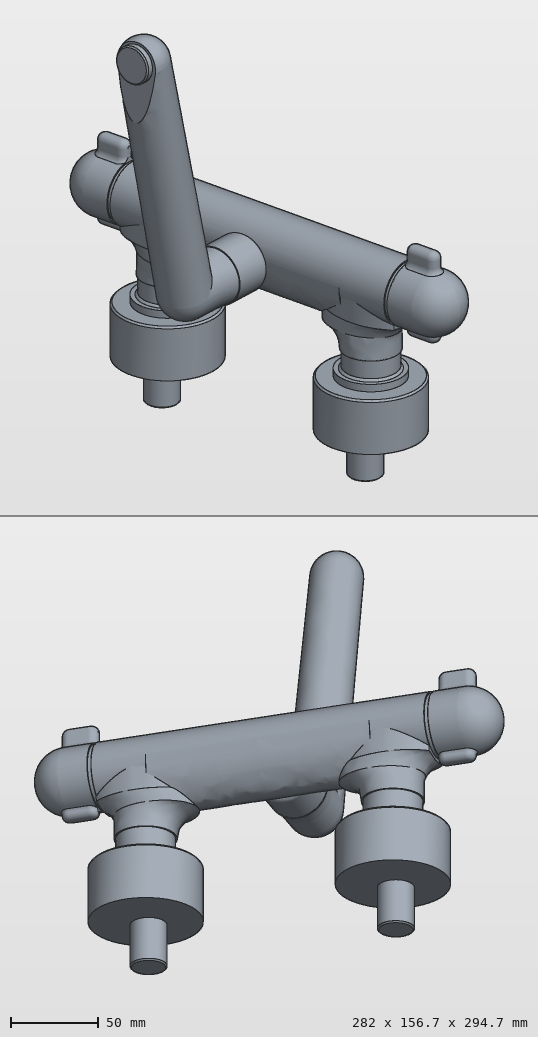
import cadquery as cq
import math


bar_radius = 20.0
body_half_length = 100.8
groove_width = 2.5
groove_depth = 1.0
ball_center_x = 121.0

leg_x = 75.0
leg_radius = 17.0
socket_radius = 18.0
blend_radius = 13.9
socket_top_half_width = 19.5
socket_skirt = 0.5
web_half_length = 67.8
web_depth = 28.5
collar_radius = 21.5
collar_bottom = -60.7
collar_height = 4.7
collar_flare = 1.5
base_radius = 32.85
base_height = 34.2
base_chamfer = 1.2
stub_radius = 10.5
stub_height = 26.5
stub_offset_y = -5.0
stub_chamfer = 1.0

knob_radius = 4.7
knob_inner_x = 107.72
knob_outer_x = 120.4
knob_flare = 4.5
knob_root_z = 17.7
upper_knob = dict(neck_z=23.5, top_z=32.5, crown=4.5)
lower_knob = dict(neck_z=21.2, top_z=25.0, crown=3.5)

spout_z = -2.8
neck_radius = 10.5
sleeve_radius = 18.0
sleeve_start_y = -22.5
sleeve_end_y = -48.0
sleeve_fillet = 3.5
cone_start_radius = 17.5
cone_end_y = -58.5
elbow_y = -75.5
elbow_radius = 16.65
arm_tip_radius = 15.47
arm_tilt = 13.0
arm_tip_z = 157.83
face_y = -119.0
face_tilt = 1.9
outlet_z = 159.0
outlet_radius = 11.8
outlet_length = 4.5
outlet_chamfer = 1.0

cap_inner_x = body_half_length + groove_width
socket_bottom = -web_depth - blend_radius - socket_skirt
base_top = collar_bottom
base_bottom = base_top - base_height


def cylinder_x(radius, half_length):
    return cq.Workplane("YZ").circle(radius).extrude(half_length, both=True)


def turned(points):
    """Solid of revolution about Z from the (radius, z) corners of its outline."""
    return cq.Workplane("XZ").polyline(points).close().revolve(360, (0, 0), (0, 1))


def make_bar():
    """Central body, narrower groove cores and round-ended caps."""
    body = cylinder_x(bar_radius, body_half_length)
    core = cylinder_x(bar_radius - groove_depth, ball_center_x)
    caps = cylinder_x(bar_radius, ball_center_x).cut(cylinder_x(bar_radius + 3, cap_inner_x))
    bar = body.union(core).union(caps)
    for side in (-1, 1):
        bar = bar.union(cq.Workplane("XY").sphere(bar_radius).translate((side * ball_center_x, 0, 0)))
    return bar


def make_web():
    """Half-ellipse keel under the bar, joining the two legs."""
    return (
        cq.Workplane("YZ")
        .moveTo(-bar_radius, 0)
        .ellipseArc(bar_radius, web_depth, 180, 360, startAtCurrent=True)
        .close()
        .extrude(web_half_length, both=True)
    )


def flare_reach(z, flare_top):
    """Distance from the leg axis to a concave flare that ends level at height flare_top."""
    drop = min(max(flare_top - z, 0), blend_radius)
    rise = blend_radius - drop
    return socket_radius + blend_radius - math.sqrt(blend_radius**2 - rise**2)


def socket_section(z):
    """Ellipse across the leg top, reaching further toward the web (-X) than toward the cap."""
    web_reach = flare_reach(z, -web_depth)
    cap_reach = flare_reach(z, -bar_radius)
    center = cq.Vector((cap_reach - web_reach) / 2, 0, z)
    half_length = (cap_reach + web_reach) / 2
    half_width = socket_top_half_width + (socket_radius - socket_top_half_width) * z / socket_bottom
    up = cq.Vector(0, 0, 1)
    along_bar = cq.Vector(1, 0, 0)
    return cq.Wire.makeEllipse(half_length, half_width, center, up, along_bar)


def loft_socket(bottom, top, steps):
    heights = [bottom + (top - bottom) * i / steps for i in range(steps + 1)]
    return cq.Workplane(cq.Solid.makeLoft([socket_section(z) for z in heights]))


def make_socket():
    """Leg top for the +X leg, flaring first toward the web, then toward the cap, then straight."""
    socket = loft_socket(socket_bottom, -web_depth, 4)
    socket = socket.union(loft_socket(-web_depth, -bar_radius, 4))
    socket = socket.union(loft_socket(-bar_radius, 0, 1))
    outer_reach = body_half_length - leg_x
    beyond_body = cq.Workplane("YZ", origin=(outer_reach, 0, 0)).rect(118, 118).extrude(29.5)
    return socket.cut(beyond_body)


def make_leg():
    """Supply leg about Z: pipe, collar, round base and inlet stub."""
    collar_top = collar_bottom + collar_height
    pipe = turned([
        (0, socket_bottom + 3),
        (leg_radius, socket_bottom + 3),
        (leg_radius, collar_top + collar_flare),
        (leg_radius + collar_flare, collar_top),
        (collar_radius, collar_top),
        (collar_radius, base_top),
        (0, base_top),
    ])
    base = (
        cq.Workplane("XY", origin=(0, 0, base_bottom))
        .circle(base_radius)
        .extrude(base_height)
        .faces(">Z")
        .chamfer(base_chamfer)
    )
    stub = (
        cq.Workplane("XY", origin=(0, stub_offset_y, base_bottom))
        .circle(stub_radius)
        .extrude(-stub_height)
        .faces("<Z")
        .chamfer(stub_chamfer)
    )
    return pipe.union(base).union(stub).union(make_socket())


def knob_outline(plane, neck_z, top_z, crown):
    """Half outline of a knob: concave root up to neck_z, straight neck, rounded crown."""
    root = knob_radius + knob_flare
    diagonal = math.sqrt(0.5)
    crown_center = knob_radius - crown
    crown_bottom = top_z - crown
    flare_middle = (root - knob_flare * diagonal, neck_z - (neck_z - knob_root_z) * diagonal)
    crown_middle = (crown_center + crown * diagonal, crown_bottom + crown * diagonal)
    return (
        cq.Workplane(plane)
        .lineTo(root, 0)
        .lineTo(root, knob_root_z)
        .threePointArc(flare_middle, (knob_radius, neck_z))
        .lineTo(knob_radius, crown_bottom)
        .threePointArc(crown_middle, (crown_center, top_z))
        .lineTo(0, top_z)
        .close()
    )


def make_knob(shape):
    """Oblong knob on top of the +X cap, cut off flush with the inner end of the cap."""
    round_end = knob_outline("XZ", **shape).revolve(360, (0, 0), (0, 1))
    half_middle = knob_outline("YZ", **shape).extrude(knob_outer_x - knob_inner_x)
    middle = half_middle.union(half_middle.mirror("XZ")).translate((knob_inner_x, 0, 0))
    knob = middle.union(round_end.translate((knob_inner_x, 0, 0)))
    knob = knob.union(round_end.translate((knob_outer_x, 0, 0)))
    keep_size = 2 * bar_radius
    keep = cq.Workplane("XY").box(keep_size, keep_size, keep_size)
    return knob.intersect(keep.translate((cap_inner_x + keep_size / 2, 0, keep_size / 2)))


def make_side():
    """Everything that repeats at both ends: leg and the two knobs of the +X end."""
    side = make_leg().translate((leg_x, 0, 0))
    side = side.union(make_knob(upper_knob))
    return side.union(make_knob(lower_knob).mirror("XY"))


def make_spout_root():
    """Neck, sleeve and cone along -Y, ending in the horizontal run to the elbow."""
    axis_frame = cq.Workplane("XZ", origin=(0, 0, spout_z))
    neck = axis_frame.circle(neck_radius).extrude(-sleeve_start_y + 3)
    sleeve = (
        cq.Workplane("XZ", origin=(0, sleeve_start_y, spout_z))
        .circle(sleeve_radius)
        .extrude(sleeve_start_y - sleeve_end_y)
        .faces(">Y")
        .edges()
        .fillet(sleeve_fillet)
    )
    cone = (
        cq.Workplane("XZ", origin=(0, sleeve_end_y, spout_z))
        .circle(cone_start_radius)
        .workplane(offset=sleeve_end_y - cone_end_y)
        .circle(elbow_radius)
        .loft()
    )
    run = (
        cq.Workplane("XZ", origin=(0, cone_end_y, spout_z))
        .circle(elbow_radius)
        .extrude(cone_end_y - elbow_y)
    )
    return neck.union(sleeve).union(cone).union(run)


def make_arm():
    """Leaning tapered arm with a ball at each end and a flat outlet face at the tip."""
    tilt = math.radians(arm_tilt)
    arm_length = (arm_tip_z - spout_z) / math.cos(tilt)
    arm = cq.Workplane("XY").circle(elbow_radius).workplane(offset=arm_length).circle(arm_tip_radius).loft()
    arm = arm.union(cq.Workplane("XY").sphere(elbow_radius))
    arm = arm.union(cq.Workplane("XY").sphere(arm_tip_radius).translate((0, 0, arm_length)))
    arm = arm.rotate((0, 0, 0), (1, 0, 0), arm_tilt).translate((0, elbow_y, spout_z))

    face_angle = math.radians(face_tilt)
    outward = (0, -math.cos(face_angle), math.sin(face_angle))
    face = cq.Workplane(cq.Plane(origin=(0, face_y, outlet_z), xDir=(1, 0, 0), normal=outward))
    cut_size = 8 * elbow_radius
    arm = arm.cut(face.rect(cut_size, cut_size).extrude(cut_size))
    outlet = face.circle(outlet_radius).extrude(outlet_length).faces("<Y").chamfer(outlet_chamfer)
    return arm.union(outlet)


side = make_side()
result = make_bar().union(make_web()).union(side).union(side.mirror("YZ"))
result = result.union(make_spout_root()).union(make_arm())